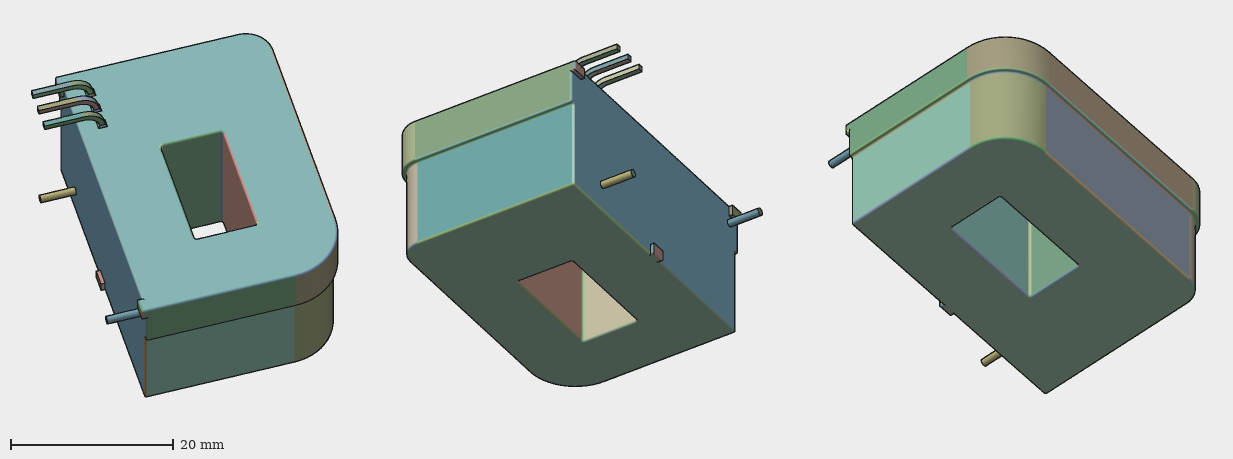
import cadquery as cq
import math

flange_width = 38.0
flange_depth = 26.5
flange_height = 6.1
flange_overhang = 0.57
housing_height = 18.5
left_corner_radius = 3.5
right_corner_radius = 7.22
edge_radius = 0.25
step_radius = 0.2

window_width = 14.95
window_depth = 7.98
window_center_x = 2.47
window_center_y = 12.92
window_corner_radius = 0.3

foot_width = 2.1
foot_height = 1.6
foot_projection = 0.55
foot_root = 0.38
tab_height = 1.5

pin_length = 4.52
pin_diameter = 1.0
pin_centers = [(-12.0, 3.85), (17.0, 15.8)]

lead_width = 0.72
lead_rise = 2.8
lead_center_y = 2.93
lead_pitch = 2.5
first_lead_x = -15.35
lead_count = 3
collar_width = 1.15
collar_height = 0.25

flange_half_width = flange_width / 2
flange_bottom = housing_height - flange_height
lower_half_width = flange_half_width - flange_overhang
lower_depth = flange_depth - flange_overhang
front_overrun = 4 * flange_overhang
selection_margin = step_radius / 10


def body_block(inset, bottom, height):
    """Block with two rounded back corners, its sides and back set in from the flange.

    It overruns the front plane, where the finished housing is cut off flat.
    """
    half_width = flange_half_width - inset
    back = flange_depth - inset
    front = -front_overrun + inset
    left_radius = left_corner_radius - inset
    right_radius = right_corner_radius - inset
    arc_setback = 1 - math.sqrt(0.5)
    return (
        cq.Workplane("XY", origin=(0, 0, bottom))
        .moveTo(-half_width, front)
        .lineTo(half_width, front)
        .lineTo(half_width, back - right_radius)
        .threePointArc(
            (half_width - right_radius * arc_setback, back - right_radius * arc_setback),
            (half_width - right_radius, back),
        )
        .lineTo(-half_width + left_radius, back)
        .threePointArc(
            (-half_width + left_radius * arc_setback, back - left_radius * arc_setback),
            (-half_width, back - left_radius),
        )
        .close()
        .extrude(height)
    )


def make_stepped_body():
    """Flange and lower body joined by a rounded step and cut flat at the front."""
    flange = body_block(0, flange_bottom, flange_height)
    flange = flange.faces("<Z").edges().fillet(step_radius)
    body = flange.union(body_block(flange_overhang, 0, housing_height))

    inner_step_edges = cq.selectors.BoxSelector(
        (-lower_half_width - selection_margin, -front_overrun, flange_bottom - selection_margin),
        (lower_half_width + selection_margin, lower_depth + selection_margin, flange_bottom + selection_margin),
        boundingbox=True,
    )
    body = body.edges(inner_step_edges).fillet(step_radius)

    behind_front = cq.Workplane("XY").box(
        flange_width, flange_depth, housing_height, centered=(True, False, False)
    )
    return body.intersect(behind_front)


def front_block(center_x, width, bottom, height):
    """Block standing out from the front face and rooted slightly inside the housing."""
    return (
        cq.Workplane("XY", origin=(center_x, -foot_projection, bottom))
        .box(width, foot_projection + foot_root, height, centered=(True, False, False))
    )


def round_front_sides(housing):
    """Round the front edges of both flange sides, around the feet and on down the lower body."""
    for side_x in (-flange_half_width, flange_half_width):
        side_edges = cq.selectors.BoxSelector(
            (side_x - selection_margin, -foot_projection - selection_margin, flange_bottom),
            (side_x + selection_margin, selection_margin, housing_height - selection_margin),
        )
        housing = housing.edges(side_edges).fillet(edge_radius)
    return housing


def make_window():
    return (
        cq.Workplane("XY")
        .center(window_center_x, window_center_y)
        .rect(window_width, window_depth)
        .extrude(housing_height)
        .edges("|Z")
        .fillet(window_corner_radius)
    )


def make_housing():
    housing = make_stepped_body()
    foot_x = flange_half_width - foot_width / 2
    foot_bottom = housing_height - foot_height
    for center_x in (-foot_x, foot_x):
        housing = housing.union(front_block(center_x, foot_width, foot_bottom, foot_height))
    housing = round_front_sides(housing)
    housing = housing.union(front_block(0, foot_width, 0, tab_height))
    housing = housing.cut(make_window())
    return housing.faces("<Z or >Z").edges().fillet(edge_radius)


def make_pin(x, z):
    return cq.Workplane("XZ").center(x, z).circle(pin_diameter / 2).extrude(pin_length)


def make_lead(x):
    """Square lead that bends a quarter turn to the front, with a tapered collar at its base."""
    base = (x, lead_center_y, housing_height)
    bend_radius = lead_rise - lead_width / 2
    path = (
        cq.Workplane("YZ", origin=base)
        .radiusArc((-bend_radius, bend_radius), -bend_radius)
        .lineTo(-lead_center_y - pin_length, bend_radius)
    )
    lead = cq.Workplane("XY", origin=base).rect(lead_width, lead_width).sweep(path)
    collar = (
        cq.Workplane("XY", origin=base)
        .rect(collar_width, collar_width)
        .workplane(offset=collar_height)
        .rect(lead_width, lead_width)
        .loft()
    )
    return collar.union(lead)


result = make_housing()
for pin_x, pin_z in pin_centers:
    result = result.union(make_pin(pin_x, pin_z))
for index in range(lead_count):
    result = result.union(make_lead(first_lead_x + index * lead_pitch))